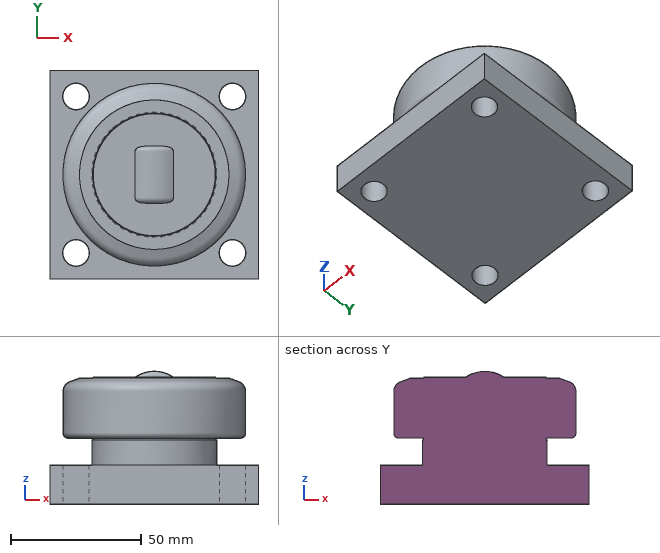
import cadquery as cq
import math

plate_side = 80.0
plate_height = 15.0
hole_diameter = 10.1
hole_spacing = 60.0

stem_diameter = 48.0
stem_top = 24.7
cap_diameter = 47.3
cap_top = 48.7
cap_chamfer = 0.2

roller_radius = 35.0
roller_bottom = 25.3
roller_top = 48.4
bottom_round = 2.0
top_round = 4.0
top_round_start = 43.3
cone_angle = math.radians(20)

pad_width = 14.6
pad_length = 21.9
pad_end_round = 2.0
total_height = 51.0


def make_plate():
    plate = cq.Workplane("XY").rect(plate_side, plate_side).extrude(plate_height)
    holes = (
        cq.Workplane("XY")
        .rect(hole_spacing, hole_spacing, forConstruction=True)
        .vertices()
        .circle(hole_diameter / 2)
        .extrude(plate_height)
    )
    return plate.cut(holes)


def make_cylinder(diameter, bottom, top):
    return cq.Workplane("XY").workplane(offset=bottom).circle(diameter / 2).extrude(top - bottom)


def make_cap():
    cap = make_cylinder(cap_diameter, stem_top, cap_top)
    return cap.faces(">Z").chamfer(cap_chamfer)


def make_roller():
    round_center = roller_radius - top_round

    def top_round_point(angle):
        return (
            round_center + top_round * math.cos(angle),
            top_round_start + top_round * math.sin(angle),
        )

    tangent_angle = math.pi / 2 - cone_angle
    cone_start = top_round_point(tangent_angle)
    cone_end_radius = cone_start[0] - (roller_top - cone_start[1]) / math.tan(cone_angle)
    bottom_mid_offset = bottom_round * (1 - math.sqrt(0.5))

    profile = (
        cq.Workplane("XZ")
        .moveTo(0, roller_bottom)
        .lineTo(roller_radius - bottom_round, roller_bottom)
        .threePointArc(
            (roller_radius - bottom_mid_offset, roller_bottom + bottom_mid_offset),
            (roller_radius, roller_bottom + bottom_round),
        )
        .lineTo(roller_radius, top_round_start)
        .threePointArc(top_round_point(tangent_angle / 2), cone_start)
        .lineTo(cone_end_radius, roller_top)
        .lineTo(0, roller_top)
        .close()
    )
    return profile.revolve(360, (0, 0, 0), (0, 1, 0))


def make_pad():
    crown_height = total_height - cap_top
    crown_radius = ((pad_width / 2) ** 2 + crown_height**2) / (2 * crown_height)
    pad = (
        cq.Workplane("XZ")
        .center(0, total_height - crown_radius)
        .circle(crown_radius)
        .extrude(pad_length / 2, both=True)
        .edges()
        .fillet(pad_end_round)
    )
    above_cap = (
        cq.Workplane("XY")
        .workplane(offset=cap_top)
        .rect(plate_side, plate_side)
        .extrude(crown_height)
    )
    return pad.intersect(above_cap)


result = (
    make_plate()
    .union(make_cylinder(stem_diameter, plate_height, stem_top))
    .union(make_cap())
    .union(make_roller())
    .union(make_pad())
)